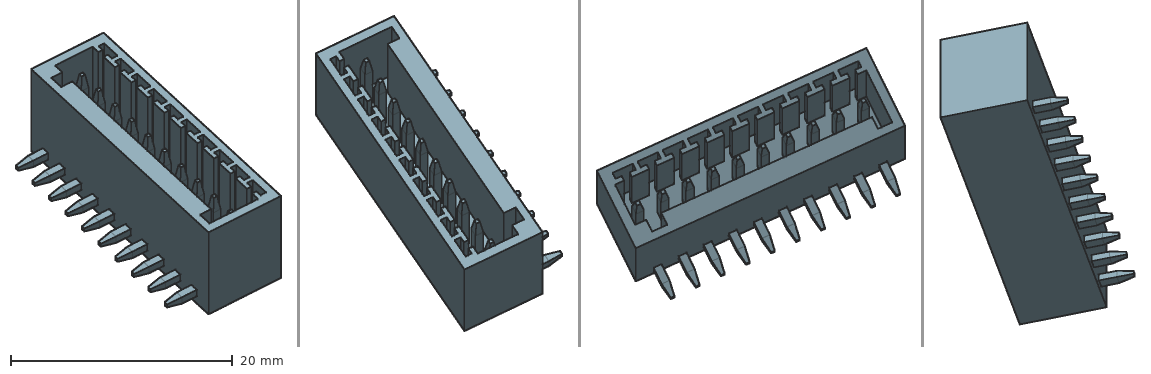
import cadquery as cq

LENGTH = 26.9
DEPTH = 8.12
HEIGHT = 10.1
FLOOR = 2.15

END_WALL = 0.91
FRONT_WALL = 2.02
BACK_WALL = 1.9
KEY_FRONT_WALL = 0.78
LEFT_KEY_START = 2.02
LEFT_KEY_WIDTH = 1.5
RIGHT_KEY_START = 2.35

SLOT_HEAD_WIDTH = 2.02
SLOT_NECK_WIDTH = 0.78
SLOT_BACK_WALL = 0.8
SLOT_NECK_DEPTH = 0.48

PIN_COUNT = 10
PITCH = 2.5
PIN_SIZE = 0.8
TIP_SIZE = 0.38
TAPER = 1.5
PIN_TOP = 8.8
PIN_Y = 0.05
TAIL_Z = 1.3
TAIL_REACH = 3.17

FRONT_Y = -DEPTH / 2
BACK_Y = DEPTH / 2
LEFT_X = -LENGTH / 2
RIGHT_X = LENGTH / 2
PIN_XS = [(i - (PIN_COUNT - 1) / 2) * PITCH for i in range(PIN_COUNT)]


def box(x0, x1, y0, y1, z0, z1):
    """Box between two opposite corners."""
    return cq.Workplane("XY").box(x1 - x0, y1 - y0, z1 - z0, centered=False).translate((x0, y0, z0))


def cavity_cut(x0, x1, y0, y1):
    """Rectangular pocket from the cavity floor up to the open top."""
    return box(x0, x1, y0, y1, FLOOR, HEIGHT)


def t_slot(x):
    """T-shaped slot: a narrow neck at the cavity and a wide head behind it."""
    neck_front = BACK_Y - BACK_WALL
    head_front = neck_front + SLOT_NECK_DEPTH
    head_back = BACK_Y - SLOT_BACK_WALL
    neck = cavity_cut(x - SLOT_NECK_WIDTH / 2, x + SLOT_NECK_WIDTH / 2, neck_front, head_front)
    head = cavity_cut(x - SLOT_HEAD_WIDTH / 2, x + SLOT_HEAD_WIDTH / 2, head_front, head_back)
    return neck.union(head)


def make_pin(x):
    """Right-angle pin with a tapered upper contact and a tapered front tail."""
    half = PIN_SIZE / 2
    post_top = PIN_TOP - TAPER
    tail_front = FRONT_Y - TAIL_REACH + TAPER
    post = box(x - half, x + half, PIN_Y - half, PIN_Y + half, TAIL_Z - half, post_top)
    tail = box(x - half, x + half, tail_front, PIN_Y + half, TAIL_Z - half, TAIL_Z + half)
    contact_tip = (
        cq.Workplane("XY", origin=(x, PIN_Y, post_top))
        .rect(PIN_SIZE, PIN_SIZE)
        .workplane(offset=TAPER)
        .rect(TIP_SIZE, TIP_SIZE)
        .loft()
    )
    tail_tip = (
        cq.Workplane("XZ", origin=(x, tail_front, TAIL_Z))
        .rect(PIN_SIZE, PIN_SIZE)
        .workplane(offset=TAPER)
        .rect(TIP_SIZE, TIP_SIZE)
        .loft()
    )
    return post.union(tail).union(contact_tip).union(tail_tip)


def make_housing(integral_pin, loose_pins):
    """Block with the keyed cavity, T-slots, its integral pin and a matching hole for each loose pin."""
    body = box(LEFT_X, RIGHT_X, FRONT_Y, BACK_Y, 0, HEIGHT)

    cavity_front = FRONT_Y + FRONT_WALL
    cavity_right = RIGHT_X - END_WALL
    body = body.cut(cavity_cut(LEFT_X + END_WALL, cavity_right, cavity_front, BACK_Y - BACK_WALL))

    key_front = FRONT_Y + KEY_FRONT_WALL
    left_key = LEFT_X + LEFT_KEY_START
    body = body.cut(cavity_cut(left_key, left_key + LEFT_KEY_WIDTH, key_front, cavity_front))
    body = body.cut(cavity_cut(RIGHT_X - RIGHT_KEY_START, cavity_right, key_front, cavity_front))

    for x in PIN_XS:
        body = body.cut(t_slot(x))
    for pin in loose_pins:
        body = body.cut(pin)
    return body.union(integral_pin)


integral_pin = make_pin(PIN_XS[0])
pins = [make_pin(x) for x in PIN_XS[1:]]
housing = make_housing(integral_pin, pins)

result = cq.Compound.makeCompound([housing.solids().val(), *[pin.solids().val() for pin in pins]])